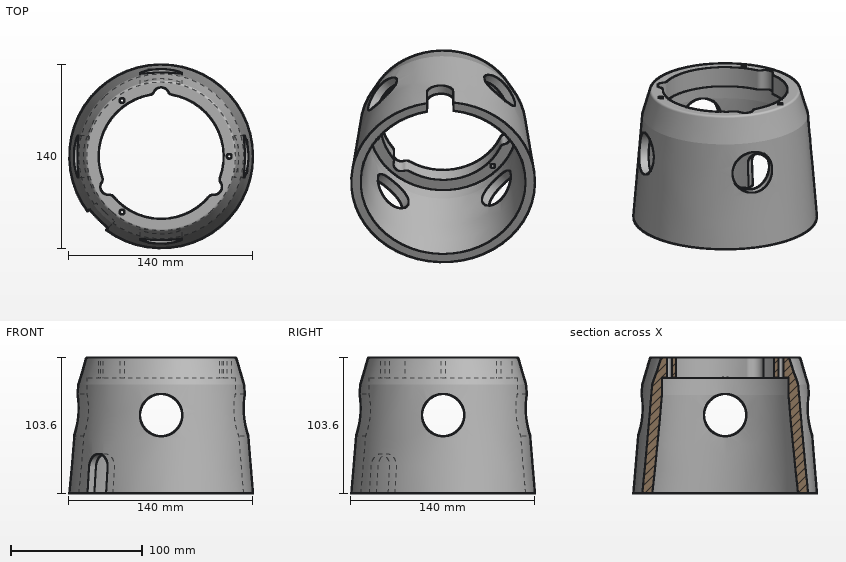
import cadquery as cq
import math

height = 103.6
base_radius = 70.0
shoulder_radius = 63.2
shoulder_height = 82.8
top_radius = 57.1
top_rounding = 2.0

base_inner_radius = 62.7
cylinder_radius = 56.5
cylinder_start_height = 74.6
ring_thickness = 15.6
ring_underside = height - ring_thickness
ring_bore_radius = 47.5

notch_count = 3
notch_radius = 6.0
notch_center_radius = 46.4
notch_start_angle = 90.0
notch_edge_rounding = 4.0

screw_angles = (0, 125, -125)
screw_diameter = 3.5
screw_circle_radius = 51.8

window_diameter = 32.0
window_height = 59.6
slot_width = 20.0
slot_height = 30.0
slot_angle = 225.0


def make_shell():
    """Revolved double cone with an inward ring at the top."""
    profile = [
        (base_inner_radius, 0),
        (base_radius, 0),
        (shoulder_radius, shoulder_height),
        (top_radius, height),
        (ring_bore_radius, height),
        (ring_bore_radius, ring_underside),
        (cylinder_radius, ring_underside),
        (cylinder_radius, cylinder_start_height),
    ]
    shell = cq.Workplane("XZ").polyline(profile).close().revolve(360, (0, 0, 0), (0, 1, 0))
    outer_edge = cq.selectors.RadiusNthSelector(-1)
    return shell.faces(">Z").edges(outer_edge).fillet(top_rounding)


def cut_notches(body):
    """Cut the round notches and round the edges where they open into the bore."""
    cutters = (
        cq.Workplane("XY", origin=(0, 0, ring_underside))
        .polarArray(notch_center_radius, notch_start_angle, 360, notch_count)
        .circle(notch_radius)
        .extrude(ring_thickness)
    )
    body = body.cut(cutters)

    mouth_distance = (ring_bore_radius**2 + notch_center_radius**2 - notch_radius**2) / (2 * notch_center_radius)
    mouth_half_angle = math.degrees(math.acos(mouth_distance / ring_bore_radius))
    ring_middle = height - ring_thickness / 2
    for index in range(notch_count):
        notch_angle = notch_start_angle + index * 360 / notch_count
        for side in (-1, 1):
            angle = math.radians(notch_angle + side * mouth_half_angle)
            mouth = (ring_bore_radius * math.cos(angle), ring_bore_radius * math.sin(angle), ring_middle)
            edge = cq.selectors.NearestToPointSelector(mouth)
            body = body.edges("|Z").edges(edge).fillet(notch_edge_rounding)
    return body


def cut_screw_holes(body):
    """Drill the screw holes down through the ring."""
    for angle in screw_angles:
        hole = (
            cq.Workplane("XY", origin=(0, 0, ring_underside))
            .center(
                screw_circle_radius * math.cos(math.radians(angle)),
                screw_circle_radius * math.sin(math.radians(angle)),
            )
            .circle(screw_diameter / 2)
            .extrude(ring_thickness)
        )
        body = body.cut(hole)
    return body


def cut_windows(body):
    """Cut round windows through the wall along X and along Y."""
    for plane in ("XZ", "YZ"):
        window = (
            cq.Workplane(plane, origin=(0, 0, window_height))
            .circle(window_diameter / 2)
            .extrude(base_radius, both=True)
        )
        body = body.cut(window)
    return body


def cut_base_slot(body):
    """Cut one round-topped slot, open at the base, through one side of the wall."""
    half_width = slot_width / 2
    straight_height = slot_height - half_width
    slot = (
        cq.Workplane("YZ")
        .moveTo(-half_width, 0)
        .lineTo(-half_width, straight_height)
        .threePointArc((0, slot_height), (half_width, straight_height))
        .lineTo(half_width, 0)
        .close()
        .extrude(base_radius)
        .rotate((0, 0, 0), (0, 0, 1), slot_angle)
    )
    return body.cut(slot)


result = make_shell()
result = cut_notches(result)
result = cut_screw_holes(result)
result = cut_windows(result)
result = cut_base_slot(result)